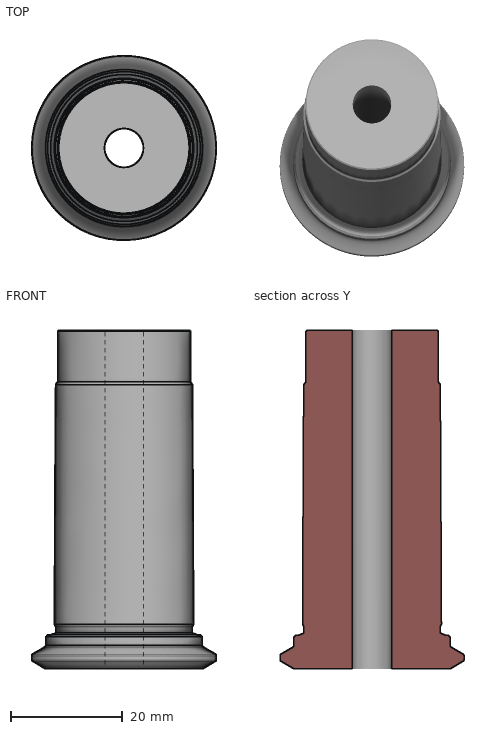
import cadquery as cq

base_diameter = 28.15
rim_diameter = 33.0
collar_diameter = 28.0
neck_diameter = 24.45
body_bottom_diameter = 24.9
body_top_diameter = 24.5
spigot_diameter = 23.8
bore_diameter = 6.9

rim_bottom_height = 1.45
rim_top_height = 2.55
collar_bottom_height = 4.0
collar_top_height = 6.05
neck_bottom_height = 6.4
neck_top_height = 7.55
body_bottom_height = 8.0
body_top_height = 50.75
shoulder_height = 51.25
total_height = 60.5

collar_chamfer = 0.35
neck_flare = 0.9
spigot_chamfer = 0.25
blend_radius = 0.3

selection_tolerance = 0.005

base_radius = base_diameter / 2
rim_radius = rim_diameter / 2
collar_radius = collar_diameter / 2
neck_radius = neck_diameter / 2
spigot_radius = spigot_diameter / 2


def turned_body():
    """Revolve the stepped outer profile, drawn as (radius, height), about Z."""
    profile = (
        cq.Workplane("XZ")
        .lineTo(base_radius, 0)
        .lineTo(rim_radius, rim_bottom_height)
        .lineTo(rim_radius, rim_top_height)
        .lineTo(collar_radius, collar_bottom_height)
        .lineTo(collar_radius, collar_top_height - collar_chamfer)
        .lineTo(collar_radius - collar_chamfer, collar_top_height)
        .lineTo(neck_radius + neck_flare, collar_top_height)
        .lineTo(neck_radius, neck_bottom_height)
        .lineTo(neck_radius, neck_top_height)
        .lineTo(body_bottom_diameter / 2, body_bottom_height)
        .lineTo(body_top_diameter / 2, body_top_height)
        .lineTo(spigot_radius, shoulder_height)
        .lineTo(spigot_radius, total_height - spigot_chamfer)
        .lineTo(spigot_radius - spigot_chamfer, total_height)
        .lineTo(0, total_height)
        .close()
    )
    return profile.revolve(360, (0, 0, 0), (0, 1, 0))


def through_bore():
    return cq.Workplane("XY").circle(bore_diameter / 2).extrude(total_height)


def blend_circle(body, height):
    """Round the circular edge lying at the given height."""
    slab = cq.selectors.BoxSelector(
        (-rim_diameter, -rim_diameter, height - selection_tolerance),
        (rim_diameter, rim_diameter, height + selection_tolerance),
        boundingbox=True,
    )
    return body.edges(slab).fillet(blend_radius)


body = turned_body()
for edge_height in (rim_bottom_height, rim_top_height, collar_bottom_height, neck_top_height):
    body = blend_circle(body, edge_height)
result = body.cut(through_bore())